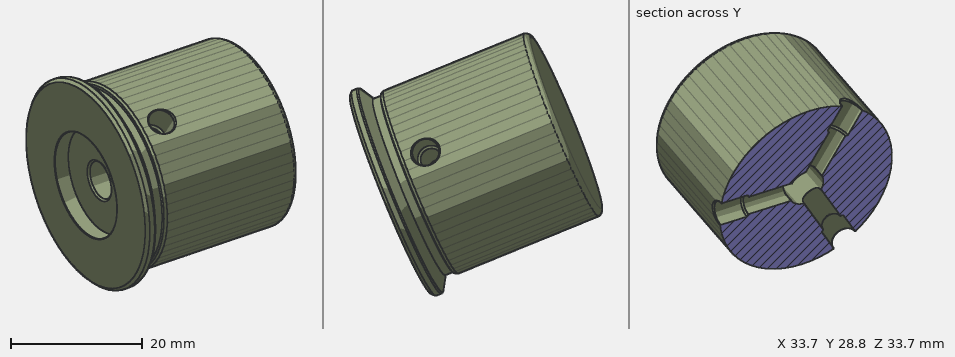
import cadquery as cq
import math

length = 28.8

flange_radius = 16.85
flange_chamfer = 0.5
rim_end = 1.38
rim_bevel_end = 1.65
rim_bevel_radial = 0.15
flange_cone_end = 3.0
neck_radius = 14.5
neck_end = 4.3

facet_count = 60
facet_step = 360 / facet_count
grip_radius = 15.0
grip_corner_radius = grip_radius / math.cos(math.pi / facet_count)
blank_radius = 15.03
front_bevel_end = 4.45
front_bevel_radius = 14.8
front_cone_end = 5.0
rear_edge_radius = 1.0
envelope_margin = 0.35

recess_radius = 8.5
recess_depth = 2.5
recess_chamfer = 0.1
bore_radius = 3.0
bore_end = 20.22
bore_chamfer = 0.3
drill_point_angle = 118

screw_hole_count = 3
screw_hole_y = 8.5
first_screw_angle = 57
screw_thread_radius = 1.65
screw_clearance_radius = 2.05
screw_clearance_floor = 10.2
screw_mouth_radius = 2.3


def drill_point_height(radius):
    """Height of a drill point's cone with the given base radius."""
    return radius / math.tan(math.radians(drill_point_angle / 2))


def revolve_about_y(outline):
    """Turn a closed (radius, y) outline into a solid of revolution about Y."""
    return outline.close().revolve(360, (0, 0, 0), (0, 1, 0))


def make_turned_body():
    """Flange, neck and grip blank with a coned front edge and a rounded rear edge."""
    rear_arc_center_r = blank_radius - rear_edge_radius
    rear_arc_center_y = length - rear_edge_radius
    rear_arc_middle = (
        rear_arc_center_r + rear_edge_radius * math.sqrt(0.5),
        rear_arc_center_y + rear_edge_radius * math.sqrt(0.5),
    )
    outline = (
        cq.Workplane("XY")
        .moveTo(0, 0)
        .lineTo(flange_radius - flange_chamfer, 0)
        .lineTo(flange_radius, flange_chamfer)
        .lineTo(flange_radius, rim_end)
        .lineTo(flange_radius - rim_bevel_radial, rim_bevel_end)
        .lineTo(neck_radius, flange_cone_end)
        .lineTo(neck_radius, neck_end)
        .lineTo(front_bevel_radius, front_bevel_end)
        .lineTo(blank_radius, front_cone_end)
        .lineTo(blank_radius, rear_arc_center_y)
        .threePointArc(rear_arc_middle, (rear_arc_center_r, length))
        .lineTo(0, length)
    )
    return revolve_about_y(outline)


def make_facet_envelope():
    """Prism with the grip facets, widened to clear the flange in front of the grip."""
    flange_zone = cq.Workplane("XZ").circle(flange_radius + envelope_margin).extrude(-neck_end)
    prism = (
        cq.Workplane("XZ")
        .polygon(facet_count, 2 * grip_corner_radius)
        .extrude(-length)
        .rotate((0, 0, 0), (0, 1, 0), facet_step / 2)
    )
    return prism.union(flange_zone)


def make_bore():
    """Chamfered front recess and blind shaft bore with a drill point."""
    outline = (
        cq.Workplane("XY")
        .moveTo(0, 0)
        .lineTo(recess_radius + recess_chamfer, 0)
        .lineTo(recess_radius, recess_chamfer)
        .lineTo(recess_radius, recess_depth)
        .lineTo(bore_radius + bore_chamfer, recess_depth)
        .lineTo(bore_radius, recess_depth + bore_chamfer)
        .lineTo(bore_radius, bore_end)
        .lineTo(0, bore_end + drill_point_height(bore_radius))
    )
    return revolve_about_y(outline)


def make_screw_hole(angle):
    """Stepped hole from the bore outward; angle is measured from +X toward +Z."""
    step_height = drill_point_height(screw_clearance_radius) - drill_point_height(screw_thread_radius)
    mouth_chamfer = screw_mouth_radius - screw_clearance_radius
    outline = (
        cq.Workplane("XY")
        .moveTo(0, 0)
        .lineTo(0, screw_thread_radius)
        .lineTo(screw_clearance_floor - step_height, screw_thread_radius)
        .lineTo(screw_clearance_floor, screw_clearance_radius)
        .lineTo(grip_radius - mouth_chamfer, screw_clearance_radius)
        .lineTo(grip_radius + mouth_chamfer, screw_mouth_radius + mouth_chamfer)
        .lineTo(grip_radius + mouth_chamfer, 0)
        .close()
    )
    hole = outline.revolve(360, (0, 0, 0), (1, 0, 0))
    return hole.translate((0, screw_hole_y, 0)).rotate((0, 0, 0), (0, 1, 0), -angle)


result = make_turned_body().intersect(make_facet_envelope()).cut(make_bore())
for index in range(screw_hole_count):
    screw_angle = first_screw_angle + index * 360 / screw_hole_count
    result = result.cut(make_screw_hole(screw_angle))